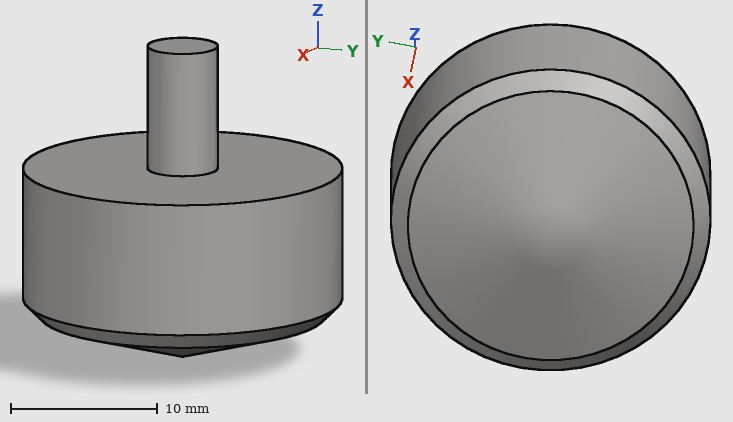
import cadquery as cq

total_height = 21.8
body_diameter = 21.8
pin_diameter = 4.8
pin_length = 8.57
tip_height = 2.96
bevel_size = 1.15

body_radius = body_diameter / 2
pin_radius = pin_diameter / 2
cone_radius = body_radius - bevel_size
bevel_top = tip_height + bevel_size
body_top = total_height - pin_length

profile = (
    cq.Workplane("XZ")
    .moveTo(0, 0)
    .lineTo(cone_radius, tip_height)
    .lineTo(body_radius, bevel_top)
    .lineTo(body_radius, body_top)
    .lineTo(pin_radius, body_top)
    .lineTo(pin_radius, total_height)
    .lineTo(0, total_height)
    .close()
)

result = profile.revolve(360, (0, 0, 0), (0, 1, 0))